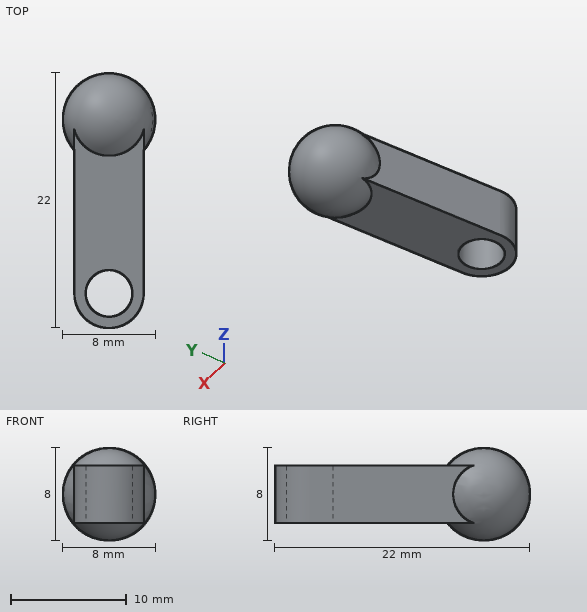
import cadquery as cq

total_length = 22.0
ball_diameter = 8.0
arm_width = 6.0
arm_thickness = 5.0
hole_diameter = 4.0

ball_radius = ball_diameter / 2
eye_radius = arm_width / 2
centre_distance = total_length - ball_radius - eye_radius


def make_arm():
    """Flat arm along Y, with its round eye end centred on the origin."""
    return (
        cq.Workplane("XY")
        .workplane(offset=-arm_thickness / 2)
        .moveTo(-eye_radius, 0)
        .threePointArc((0, -eye_radius), (eye_radius, 0))
        .lineTo(eye_radius, centre_distance)
        .lineTo(-eye_radius, centre_distance)
        .close()
        .extrude(arm_thickness)
    )


def make_ball():
    """Ball at the +Y end of the arm."""
    return cq.Workplane("XY").sphere(ball_radius).translate((0, centre_distance, 0))


def make_eye_hole():
    """Cutter for the hole through the eye, concentric with its round end."""
    return (
        cq.Workplane("XY")
        .workplane(offset=-arm_thickness / 2)
        .circle(hole_diameter / 2)
        .extrude(arm_thickness)
    )


result = make_arm().cut(make_eye_hole()).union(make_ball())